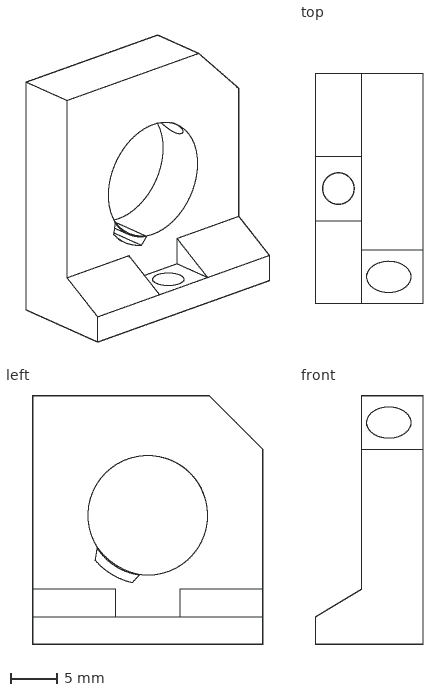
import cadquery as cq
import math

width = 25.0
height = 27.0
foot_depth = 5.0
plate_thickness = 6.7
corner_cut = 5.83

foot_height = 3.0
gusset_top = 6.0
gusset_gap = 7.0
foot_hole_diameter = 3.4

bore_diameter = 13.0
bore_radius = bore_diameter / 2
bore_depth = 5.62
bore_height = 14.0

slot_wall = 0.05
slot_inner_radius = bore_radius + slot_wall
slot_outer_radius = 7.5
slot_inner_angles = (213.0, 262.0)
slot_outer_angles = (220.5, 257.0)
wall_bulge = 0.08

screw_diameter = 4.8
screw_offset = 2.97

FACE_PLANE = cq.Plane(origin=(foot_depth, 0, bore_height), xDir=(0, -1, 0), normal=(-1, 0, 0))


def polar(radius, angle):
    """Point at a radius and an angle in degrees around the bore axis."""
    radians = math.radians(angle)
    return (radius * math.cos(radians), radius * math.sin(radians))


def arc_points(radius, angles):
    """Start, middle and end of an arc around the bore axis."""
    start, end = angles
    return polar(radius, start), polar(radius, (start + end) / 2), polar(radius, end)


def make_plate():
    plate = cq.Workplane("XY").box(plate_thickness, width, height, centered=(False, True, False))
    plate = plate.translate((foot_depth, 0, 0))
    return plate.edges("|X and >Z and <Y").chamfer(corner_cut)


def make_foot():
    foot = (
        cq.Workplane("XZ")
        .polyline([(0, 0), (foot_depth, 0), (foot_depth, gusset_top), (0, foot_height)])
        .close()
        .extrude(width / 2, both=True)
    )
    gap = (
        cq.Workplane("XY", origin=(0, 0, foot_height))
        .box(foot_depth, gusset_gap, gusset_top - foot_height, centered=(False, True, False))
    )
    hole = (
        cq.Workplane("XY", origin=(foot_depth / 2, 0, 0))
        .circle(foot_hole_diameter / 2)
        .extrude(foot_height)
    )
    return foot.cut(gap).cut(hole)


def make_bore():
    """Bore volume, slightly flattened where the thin wall bulges inward."""
    start, _, end = arc_points(bore_radius, slot_inner_angles)
    middle_angle = sum(slot_inner_angles) / 2
    flattened_middle = polar(bore_radius - wall_bulge, middle_angle)
    opposite = polar(bore_radius, middle_angle + 180)
    return (
        cq.Workplane(FACE_PLANE)
        .moveTo(*start)
        .threePointArc(flattened_middle, end)
        .threePointArc(opposite, start)
        .close()
        .extrude(-bore_depth)
    )


def make_relief_slot():
    inner_start, inner_middle, inner_end = arc_points(slot_inner_radius, slot_inner_angles)
    outer_start, outer_middle, outer_end = arc_points(slot_outer_radius, slot_outer_angles)
    return (
        cq.Workplane(FACE_PLANE)
        .moveTo(*inner_start)
        .threePointArc(inner_middle, inner_end)
        .lineTo(*outer_end)
        .threePointArc(outer_middle, outer_start)
        .close()
        .extrude(-bore_depth)
    )


def make_screw_hole():
    corner_middle = (
        foot_depth + screw_offset,
        -width / 2 + corner_cut / 2,
        height - corner_cut / 2,
    )
    length = math.hypot(corner_middle[1], corner_middle[2] - bore_height)
    corner_plane = cq.Plane(origin=corner_middle, xDir=(1, 0, 0), normal=(0, 1, -1))
    return cq.Workplane(corner_plane).circle(screw_diameter / 2).extrude(length)


result = (
    make_plate()
    .union(make_foot())
    .cut(make_bore())
    .cut(make_relief_slot())
    .cut(make_screw_hole())
)